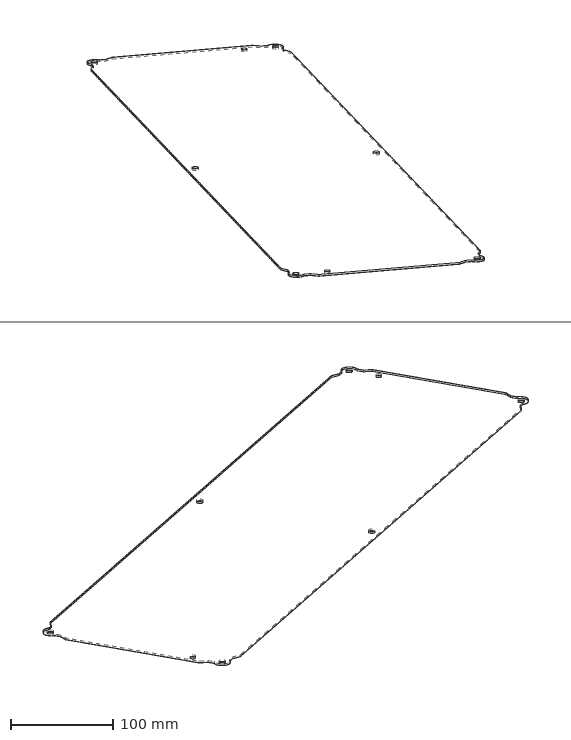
import cadquery as cq
import math

length = 736.5
width = 203.0
thickness = 1.9

edge_setback = 30.0
notch_setback = 23.0
notch_depth = 4.8
ear_radius = 8.0
ear_center_inset = 10.0

mount_diameter = 6.3
mount_inset_x = 9.5
mount_inset_y = 9.5

small_diameter = 5.5
small_inset_x = 9.5
small_inset_y = 41.0

half_length = length / 2
half_width = width / 2


def corner_cutter(sign_x, sign_y):
    """Return the waste outside one corner, leaving the notches and the ear."""
    def point(inset_x, inset_y):
        return (sign_x * (half_length - inset_x), sign_y * (half_width - inset_y))

    ear_drop = ear_center_inset - notch_depth
    ear_end = ear_center_inset + math.sqrt(ear_radius**2 - ear_drop**2)
    ear_tip = ear_center_inset - ear_radius / math.sqrt(2)
    return (
        cq.Workplane("XY")
        .moveTo(*point(0, 0))
        .lineTo(*point(edge_setback, 0))
        .lineTo(*point(notch_setback, notch_depth))
        .lineTo(*point(ear_end, notch_depth))
        .threePointArc(point(ear_tip, ear_tip), point(notch_depth, ear_end))
        .lineTo(*point(notch_depth, notch_setback))
        .lineTo(*point(0, edge_setback))
        .close()
        .extrude(thickness)
    )


plate = cq.Workplane("XY").box(length, width, thickness, centered=(True, True, False))
for sign_x in (-1, 1):
    for sign_y in (-1, 1):
        plate = plate.cut(corner_cutter(sign_x, sign_y))

mount_x = half_length - mount_inset_x
mount_y = half_width - mount_inset_y
mount_points = [(x, y) for x in (-mount_x, 0, mount_x) for y in (-mount_y, mount_y)]
mounting_holes = (
    cq.Workplane("XY")
    .pushPoints(mount_points)
    .circle(mount_diameter / 2)
    .extrude(thickness)
)

small_x = half_length - small_inset_x
small_y = half_width - small_inset_y
small_holes = (
    cq.Workplane("XY")
    .pushPoints([(-small_x, small_y), (small_x, -small_y)])
    .circle(small_diameter / 2)
    .extrude(thickness)
)

result = plate.cut(mounting_holes).cut(small_holes)